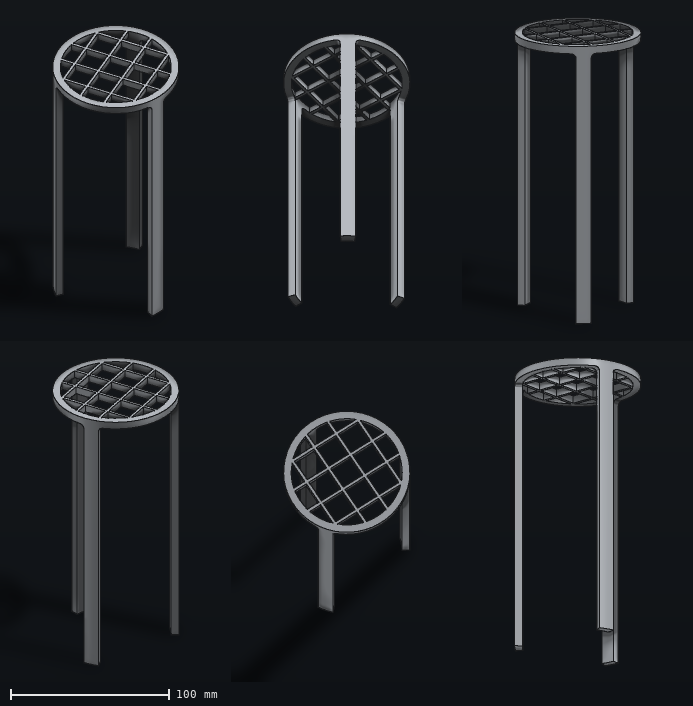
import cadquery as cq
import math

OUTER_RADIUS = 40.0
RING_WIDTH = 5.0
INNER_RADIUS = OUTER_RADIUS - RING_WIDTH
RING_HEIGHT = 5.0
TOTAL_HEIGHT = 180.0
RING_BOTTOM = TOTAL_HEIGHT - RING_HEIGHT

BAR_COUNT = 4
BAR_PITCH = 16.5
BAR_WIDTH = 2.0

LEG_COUNT = 3
FIRST_LEG_ANGLE = 90.0
LEG_STEP = 360.0 / LEG_COUNT
LEG_ARC_LENGTH = 10.0
LEG_SPAN = math.degrees(LEG_ARC_LENGTH / OUTER_RADIUS)
LEG_FILLET = 3.0

CUT_MARGIN = 5.0


def polar(radius, angle):
    """Point at the given radius and angle in degrees."""
    radians = math.radians(angle)
    return (radius * math.cos(radians), radius * math.sin(radians))


def make_tube():
    """Full-height wall that holds both the ring and the legs."""
    return cq.Workplane("XY").circle(OUTER_RADIUS).circle(INNER_RADIUS).extrude(TOTAL_HEIGHT)


def make_gap(start_angle, end_angle):
    """Opening between two legs, its upper corners rounded where the legs meet the ring."""
    inner = INNER_RADIUS - CUT_MARGIN
    outer = OUTER_RADIUS + CUT_MARGIN
    middle_angle = (start_angle + end_angle) / 2
    sector = (
        cq.Workplane("XY")
        .moveTo(*polar(inner, start_angle))
        .lineTo(*polar(outer, start_angle))
        .threePointArc(polar(outer, middle_angle), polar(outer, end_angle))
        .lineTo(*polar(inner, end_angle))
        .threePointArc(polar(inner, middle_angle), polar(inner, start_angle))
        .close()
        .extrude(RING_BOTTOM)
    )
    return sector.faces(">Z").edges("%LINE").fillet(LEG_FILLET)


def make_grid():
    """Crossing bars as tall as the ring, trimmed to end inside the ring wall."""
    bar_length = 2 * OUTER_RADIUS
    trim_radius = INNER_RADIUS + RING_WIDTH / 2
    base = cq.Workplane("XY").workplane(offset=RING_BOTTOM)
    along_x = base.rarray(1, BAR_PITCH, 1, BAR_COUNT).rect(bar_length, BAR_WIDTH).extrude(RING_HEIGHT)
    along_y = base.rarray(BAR_PITCH, 1, BAR_COUNT, 1).rect(BAR_WIDTH, bar_length).extrude(RING_HEIGHT)
    trim = base.circle(trim_radius).extrude(RING_HEIGHT)
    return along_x.union(along_y).intersect(trim)


frame = make_tube()
for leg_index in range(LEG_COUNT):
    leg_start = FIRST_LEG_ANGLE + leg_index * LEG_STEP
    frame = frame.cut(make_gap(leg_start + LEG_SPAN, leg_start + LEG_STEP))

result = frame.union(make_grid())